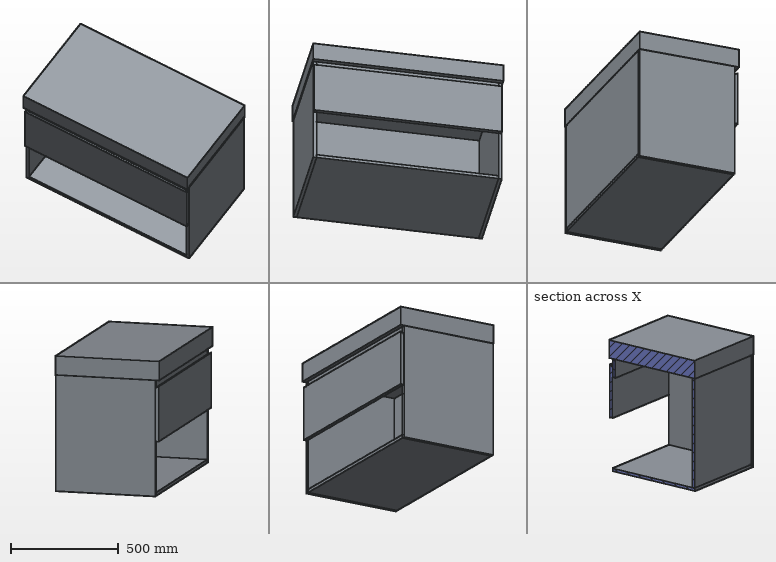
import cadquery as cq

width = 900.0
depth = 500.0
height = 640.0
board = 16.0

worktop_height = 90.0

side_inset = 4.0
front_setback = 20.0
carcass_width = width - 2 * side_inset
carcass_depth = depth - front_setback
carcass_height = height - worktop_height
inner_width = carcass_width - 2 * board
rail_height = 90.0

drawer_side_margin = 3.0
drawer_width = carcass_width - 2 * drawer_side_margin
drawer_height = 260.0
drawer_top_gap = 30.0
bevel_drop = 7.0


def box_between(x_range, y_range, z_range):
    """Axis-aligned box spanning the given coordinate ranges."""
    size = [high - low for low, high in (x_range, y_range, z_range)]
    corner = (x_range[0], y_range[0], z_range[0])
    return cq.Workplane("XY").box(*size, centered=False).translate(corner)


def make_worktop():
    return box_between((-width / 2, width / 2), (-depth, 0), (carcass_height, height))


def make_side_panel(side):
    """Full-depth side panel; side is -1 for left and 1 for right."""
    centre_x = side * (inner_width + board) / 2
    x_range = (centre_x - board / 2, centre_x + board / 2)
    return box_between(x_range, (-carcass_depth, 0), (0, carcass_height))


def make_bottom_panel():
    return box_between((-inner_width / 2, inner_width / 2), (-carcass_depth, 0), (0, board))


def make_back_panel():
    x_range = (-inner_width / 2, inner_width / 2)
    return box_between(x_range, (-board, 0), (board, carcass_height))


def make_front_rail():
    x_range = (-inner_width / 2, inner_width / 2)
    y_range = (-carcass_depth, board - carcass_depth)
    return box_between(x_range, y_range, (carcass_height - rail_height, carcass_height))


def make_drawer_front():
    """Panel on the carcass front whose top edge slopes down to the rear."""
    rear_y = -carcass_depth
    front_y = rear_y - board
    top_z = carcass_height - drawer_top_gap
    bottom_z = top_z - drawer_height
    profile = [
        (front_y, bottom_z),
        (rear_y, bottom_z),
        (rear_y, top_z - bevel_drop),
        (front_y, top_z),
    ]
    return cq.Workplane("YZ").polyline(profile).close().extrude(drawer_width / 2, both=True)


worktop = make_worktop()
side_panels = [make_side_panel(side) for side in (-1, 1)]
bottom_panel = make_bottom_panel()
back_panel = make_back_panel()
front_rail = make_front_rail()
drawer_front = make_drawer_front()

result = cq.Compound.makeCompound([
    worktop.val(),
    *[panel.val() for panel in side_panels],
    bottom_panel.val(),
    back_panel.val(),
    front_rail.val(),
    drawer_front.val(),
])